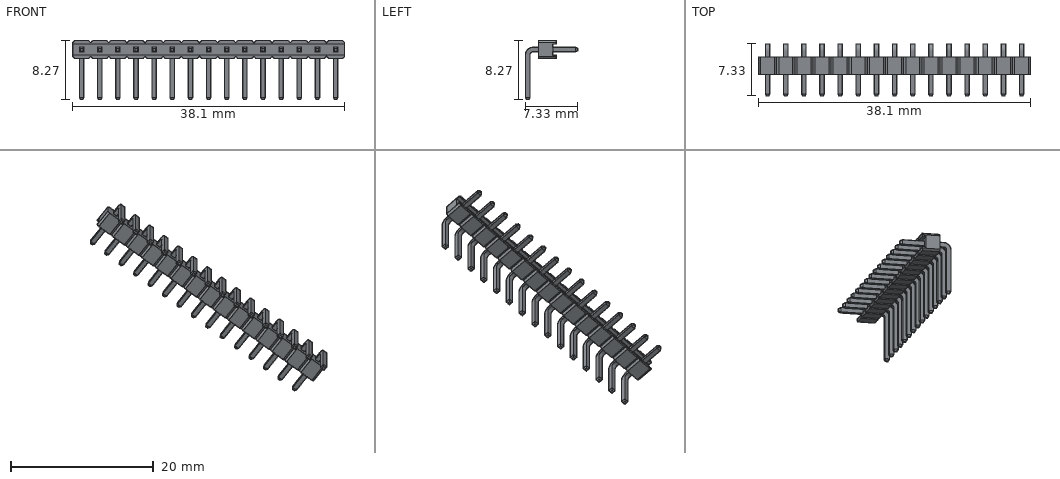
import cadquery as cq


pin_count = 15
pitch = 2.54
housing_depth = 2.5
housing_height = 2.54
row_length = pin_count * pitch
notch = 0.3
channel_depth = 0.5
lip_thickness = 0.5
channel_height = housing_height - 2 * lip_thickness

pin_width = 0.65
bend_inner_radius = 0.4
bend_outer_radius = bend_inner_radius + pin_width
mating_length = 3.0
leg_y = 1.5
rear_reach = leg_y + pin_width / 2
leg_length = 7.0
tip_length = 0.3
tip_inset = 0.15


def make_housing():
    """Row of cells with chamfered corners and a recess along the front."""
    cell = (
        cq.Workplane("XY")
        .box(pitch, housing_depth, housing_height)
        .edges("|Y")
        .chamfer(notch)
        .translate((0, -housing_depth / 2, 0))
    )
    housing = cell.translate((pin_x(0), 0, 0))
    for index in range(1, pin_count):
        housing = housing.union(cell.translate((pin_x(index), 0, 0)))

    channel = cq.Workplane("XY").box(row_length, channel_depth, channel_height)
    return housing.cut(channel.translate((0, -housing_depth + channel_depth / 2, 0)))


def pin_x(index):
    """Position along the row of the pin with the given index."""
    return (index - (pin_count - 1) / 2) * pitch


def make_tip(plane):
    """Tapered pin end that starts on the given plane and narrows along its normal."""
    tip_width = pin_width - 2 * tip_inset
    return (
        cq.Workplane(plane)
        .rect(pin_width, pin_width)
        .workplane(offset=tip_length)
        .rect(tip_width, tip_width)
        .loft(combine=True)
    )


def make_pin():
    """Square pin, bent down behind the housing, tapered at both ends."""
    half = pin_width / 2
    front_y = -housing_depth - mating_length + tip_length
    bottom_z = -leg_length + tip_length
    bend_y = rear_reach - bend_outer_radius
    bend_z = half - bend_outer_radius

    shank = (
        cq.Workplane("YZ")
        .moveTo(front_y, half)
        .lineTo(bend_y, half)
        .radiusArc((rear_reach, bend_z), bend_outer_radius)
        .lineTo(rear_reach, bottom_z)
        .lineTo(rear_reach - pin_width, bottom_z)
        .lineTo(rear_reach - pin_width, bend_z)
        .radiusArc((bend_y, -half), -bend_inner_radius)
        .lineTo(front_y, -half)
        .close()
        .extrude(half, both=True)
    )
    front_plane = cq.Plane(origin=(0, front_y, 0), xDir=(1, 0, 0), normal=(0, -1, 0))
    bottom_plane = cq.Plane(origin=(0, leg_y, bottom_z), xDir=(1, 0, 0), normal=(0, 0, -1))
    return shank.union(make_tip(front_plane)).union(make_tip(bottom_plane))


pin = make_pin()
result = make_housing()
for pin_index in range(pin_count):
    result = result.union(pin.translate((pin_x(pin_index), 0, 0)))